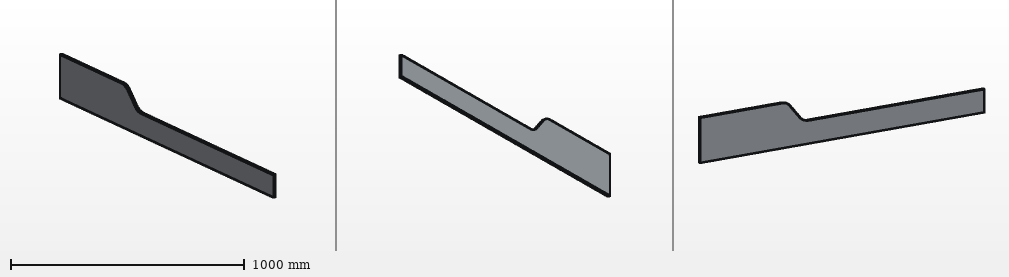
import cadquery as cq
import math

length = 1370.0
thickness = 12.0
tall_height = 205.0
low_height = 105.0

top_corner_x = 420
slope_angle = 52
bend_radius = 50.0

slope_run = (tall_height - low_height) / math.tan(math.radians(slope_angle))
bottom_corner_x = top_corner_x + slope_run


def stepped_plate():
    """Flat plate with a tall end, a sloped step and a narrow arm, all corners sharp."""
    outline = [
        (0, 0),
        (length, 0),
        (length, low_height),
        (bottom_corner_x, low_height),
        (top_corner_x, tall_height),
        (0, tall_height),
    ]
    return cq.Workplane("XZ").polyline(outline).close().extrude(-thickness)


def round_bend(plate, corner_x, corner_z):
    """Round the through-thickness edge nearest the given corner of the outline."""
    corner = cq.selectors.NearestToPointSelector((corner_x, thickness / 2, corner_z))
    return plate.edges("|Y").edges(corner).fillet(bend_radius)


result = stepped_plate()
result = round_bend(result, top_corner_x, tall_height)
result = round_bend(result, bottom_corner_x, low_height)